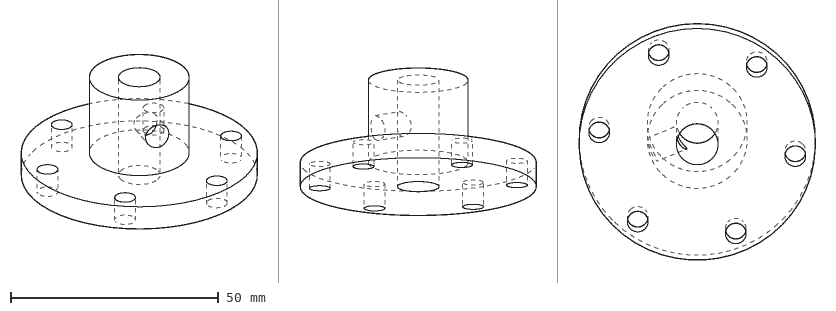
import cadquery as cq

flange_diameter = 56.8
flange_thickness = 6.0
total_height = 26.4
hub_diameter = 24.0
bore_diameter = 10.0
bolt_hole_diameter = 5.0
bolt_circle_diameter = 47.5
bolt_count = 6
first_bolt_angle = 90.0
set_screw_diameter = 6.0

set_screw_height = (flange_thickness + total_height) / 2


def make_flanged_hub():
    """Round flange with its underside at Z = 0 and a coaxial hub on top."""
    flange = cq.Workplane("XY").circle(flange_diameter / 2).extrude(flange_thickness)
    hub = cq.Workplane("XY").circle(hub_diameter / 2).extrude(total_height)
    return flange.union(hub)


def make_bore():
    return cq.Workplane("XY").circle(bore_diameter / 2).extrude(total_height)


def make_bolt_holes():
    return (
        cq.Workplane("XY")
        .polarArray(bolt_circle_diameter / 2, first_bolt_angle, 360, bolt_count)
        .circle(bolt_hole_diameter / 2)
        .extrude(flange_thickness)
    )


def make_set_screw_hole():
    """Radial hole from the bore axis out through the +X side of the hub."""
    return (
        cq.Workplane("YZ")
        .center(0, set_screw_height)
        .circle(set_screw_diameter / 2)
        .extrude(hub_diameter / 2)
    )


result = (
    make_flanged_hub()
    .cut(make_bore())
    .cut(make_bolt_holes())
    .cut(make_set_screw_hole())
)